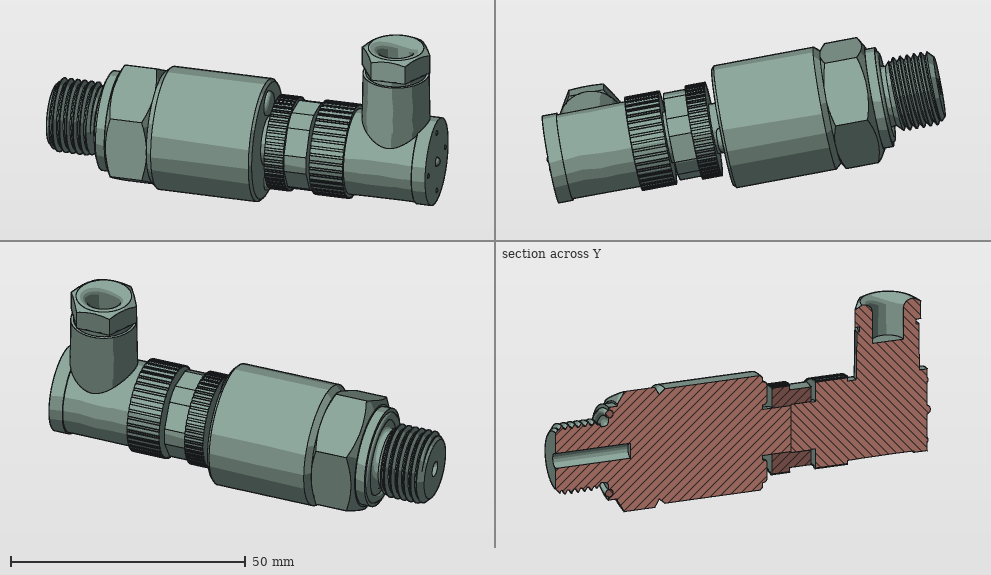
import cadquery as cq
import math


OVERALL_LENGTH = 85.3
HEX_CHAMFER_SLOPE = math.tan(math.radians(30))

THREAD_PITCH = 7.5 / 5
THREAD_RADIUS = 15.9 / 2
THREAD_ROOT_RADIUS = 14.15 / 2
THREAD_CREST_WIDTH = 0.2
THREAD_ROOT_WIDTH = 0.2
THREAD_PHASE_X = 0.7
STUD_NECK_RADIUS = 13.0 / 2
STUD_NECK_X = 10.5
STUD_NECK_FILLET = 1.0
PORT_RADIUS = 3.3 / 2
PORT_DEPTH = 17.05

FLANGE_X = 12.0
FLANGE_RADIUS = 10.75
HEX_X = 14.1
HEX_ACROSS_FLATS = 24.05
HEX_FRONT_RADIUS = 11.2
CASE_X = 23.6
CASE_CONE_RADIUS = 12.1
CASE_CONE_LENGTH = 1.3
CASE_RADIUS = 26.5 / 2
CASE_END_X = 47.1
CASE_END_CHAMFER = 0.6

SCREW_HEAD_RADIUS = 5.4 / 2
SCREW_HEAD_HEIGHT = 1.1
SCREW_HEAD_ROUNDING = 1.0
SCREW_OFFSET = 8.95
SOCKET_RADIUS = 10.75 / 2

SEAL_TUBE_RADIUS = 0.85
SEAL_CENTRE_RADIUS = 9.1
SEAL_PROTRUSION = 0.7

KNURL_RADIUS = 10.15
GROOVE_DEPTH = 0.21
GROOVE_WIDTH = 0.5

NUT_X = 49.1
NUT_KNURL_LENGTH = 4.2
NUT_GROOVE_COUNT = 50
NUT_HEX_END_X = 58.15
NUT_ACROSS_FLATS = 18.0
NUT_ROUND_RADIUS = 18.9 / 2

PLUG_NECK_RADIUS = 11.0 / 2
PLUG_KNURL_X = 59.1
PLUG_KNURL_LENGTH = 7.3
PLUG_GROOVE_COUNT = 40
BARREL_FRONT_RADIUS = 9.2
BARREL_REAR_RADIUS = 9.1
CAP_X = 81.4
CAP_RADIUS = 18.9 / 2
CAP_DOME_HEIGHT = 0.8
CAP_DOME_RADIUS = 1.0
CAP_PIP_RADIUS = 1.0 / 2
CAP_PIP_HEIGHT = 0.25
CAP_PIP_OFFSET = 6.9

OUTLET_X = 75.5
OUTLET_BASE_RADIUS = 7.25
OUTLET_TOP_RADIUS = 14.15 / 2
OUTLET_TOP_Z = 20.1
GLAND_NECK_RADIUS = 13.0 / 2
GLAND_Z = 21.15
GLAND_TOP_Z = 26.2
GLAND_ACROSS_FLATS = 13.0
GLAND_TOP_RADIUS = 11.85 / 2
CABLE_BORE_RADIUS = 7.0 / 2
CABLE_MOUTH_RADIUS = 11.0 / 2
CABLE_BORE_DEPTH = 9.1

SOCKET_END_X = (NUT_X + NUT_HEX_END_X) / 2
PLUG_KNURL_END_X = PLUG_KNURL_X + PLUG_KNURL_LENGTH
CAP_END_X = OVERALL_LENGTH - CAP_DOME_HEIGHT


def cylinder_x(x_start, x_end, radius, y=0, z=0):
    """Round bar along X between two stations."""
    return cq.Workplane("YZ", origin=(x_start, y, z)).circle(radius).extrude(x_end - x_start)


def hexagon_x(x_start, x_end, across_flats, corner_angle):
    """Hexagonal bar along X, with a corner at this angle from +Y."""
    corner_diameter = across_flats / math.cos(math.pi / 6)
    bar = cq.Workplane("YZ", origin=(x_start, 0, 0)).polygon(6, corner_diameter).extrude(x_end - x_start)
    return bar.rotate((0, 0, 0), (1, 0, 0), corner_angle)


def revolve_x(points):
    """Solid of revolution about X from (x, radius) points."""
    return cq.Workplane("XY").polyline(points).close().revolve(360, (0, 0, 0), (1, 0, 0))


def knurled_ring(x_start, length, groove_count):
    """Disc with straight rectangular grooves along its rim, the first of them at +Z."""
    groove = cq.Workplane("XY").box(length, GROOVE_WIDTH, 2 * GROOVE_DEPTH)
    groove = groove.translate((x_start + length / 2, 0, KNURL_RADIUS))
    grooves = [
        groove.rotate((0, 0, 0), (1, 0, 0), i * 360 / groove_count).val() for i in range(groove_count)
    ]
    ring = cylinder_x(x_start, x_start + length, KNURL_RADIUS)
    return ring.cut(cq.Compound.makeCompound(grooves))


def dome_x(x, y, z, base_radius, height):
    """Spherical cap that rises along +X from a plane at x."""
    return (
        cq.Workplane("XY")
        .lineTo(height, 0)
        .threePointArc(dome_midpoint(base_radius, height), (0, base_radius))
        .close()
        .revolve(360, (0, 0, 0), (1, 0, 0))
        .translate((x, y, z))
    )


def dome_midpoint(base_radius, height):
    """Point halfway along the profile arc of a spherical cap."""
    sphere_radius = (base_radius**2 + height**2) / (2 * height)
    half_angle = math.atan2(base_radius, sphere_radius - height) / 2
    along = height - sphere_radius + sphere_radius * math.cos(half_angle)
    return along, sphere_radius * math.sin(half_angle)


def seal_torus():
    """Round-section ring about X that stands out of the flange face."""
    centre_x = FLANGE_X - SEAL_PROTRUSION + SEAL_TUBE_RADIUS
    return (
        cq.Workplane("XY")
        .center(centre_x, SEAL_CENTRE_RADIUS)
        .circle(SEAL_TUBE_RADIUS)
        .revolve(360, (0, -SEAL_CENTRE_RADIUS, 0), (1, -SEAL_CENTRE_RADIUS, 0))
    )


def threaded_stud():
    """Right-handed thread on a round core, with both ends chamfered at 45 degrees."""
    overlap = 0.1
    spare_turns = 2
    turns = math.ceil(STUD_NECK_X / THREAD_PITCH) + spare_turns
    start = THREAD_PHASE_X - THREAD_PITCH
    base_half = (THREAD_PITCH - THREAD_ROOT_WIDTH) / 2
    crest_half = THREAD_CREST_WIDTH / 2
    helix = cq.Wire.makeHelix(THREAD_PITCH, turns * THREAD_PITCH, THREAD_ROOT_RADIUS)
    ridge = (
        cq.Workplane("XZ")
        .moveTo(THREAD_ROOT_RADIUS - overlap, -base_half)
        .lineTo(THREAD_RADIUS, -crest_half)
        .lineTo(THREAD_RADIUS, crest_half)
        .lineTo(THREAD_ROOT_RADIUS - overlap, base_half)
        .close()
        .sweep(cq.Workplane(helix), isFrenet=True)
        .rotate((0, 0, 0), (0, 1, 0), 90)
        .translate((start, 0, 0))
    )
    chamfer = THREAD_RADIUS - STUD_NECK_RADIUS
    envelope = revolve_x(
        [
            (0, 0),
            (0, STUD_NECK_RADIUS),
            (chamfer, THREAD_RADIUS + overlap),
            (STUD_NECK_X - chamfer, THREAD_RADIUS + overlap),
            (STUD_NECK_X, STUD_NECK_RADIUS),
            (STUD_NECK_X, 0),
        ]
    )
    core = cylinder_x(0, STUD_NECK_X, THREAD_ROOT_RADIUS)
    return core.intersect(envelope).union(ridge.intersect(envelope))


def flange():
    """Neck behind the thread that runs with a fillet into the flange."""
    fillet_x = FLANGE_X - STUD_NECK_FILLET
    fillet_middle = STUD_NECK_FILLET * (1 - math.sqrt(0.5))
    return (
        cq.Workplane("XY")
        .moveTo(STUD_NECK_X, 0)
        .lineTo(STUD_NECK_X, STUD_NECK_RADIUS)
        .lineTo(fillet_x, STUD_NECK_RADIUS)
        .threePointArc(
            (FLANGE_X - fillet_middle, STUD_NECK_RADIUS + fillet_middle),
            (FLANGE_X, STUD_NECK_RADIUS + STUD_NECK_FILLET),
        )
        .lineTo(FLANGE_X, FLANGE_RADIUS)
        .lineTo(HEX_X, FLANGE_RADIUS)
        .lineTo(HEX_X, 0)
        .close()
        .revolve(360, (0, 0, 0), (1, 0, 0))
    )


def wrench_hexagon():
    """Hexagon with corners at +Z and -Z, chamfered to cones at both ends."""
    corner_radius = HEX_ACROSS_FLATS / 2 / math.cos(math.pi / 6)
    front_chamfer = (corner_radius - HEX_FRONT_RADIUS) * HEX_CHAMFER_SLOPE
    rear_chamfer = (corner_radius - CASE_CONE_RADIUS) * HEX_CHAMFER_SLOPE
    cones = revolve_x(
        [
            (HEX_X, 0),
            (HEX_X, HEX_FRONT_RADIUS),
            (HEX_X + front_chamfer, corner_radius),
            (CASE_X - rear_chamfer, corner_radius),
            (CASE_X, CASE_CONE_RADIUS),
            (CASE_X, 0),
        ]
    )
    return hexagon_x(HEX_X, CASE_X, HEX_ACROSS_FLATS, corner_angle=90).intersect(cones)


def case():
    """Cylindrical case with a front cone and a rear chamfer."""
    return revolve_x(
        [
            (CASE_X, 0),
            (CASE_X, CASE_CONE_RADIUS),
            (CASE_X + CASE_CONE_LENGTH, CASE_RADIUS),
            (CASE_END_X - CASE_END_CHAMFER, CASE_RADIUS),
            (CASE_END_X, CASE_RADIUS - CASE_END_CHAMFER),
            (CASE_END_X, 0),
        ]
    )


def screw_head(z):
    """Rounded screw head on the rear face of the case."""
    head = cylinder_x(CASE_END_X, CASE_END_X + SCREW_HEAD_HEIGHT, SCREW_HEAD_RADIUS, z=z)
    return head.faces(">X").edges().fillet(SCREW_HEAD_ROUNDING)


def sensor_body():
    """Stud, flange, hexagon, case, screw heads and plug socket in one piece."""
    body = threaded_stud().union(flange()).union(wrench_hexagon()).union(case())
    for z in (-SCREW_OFFSET, SCREW_OFFSET):
        body = body.union(screw_head(z))
    body = body.union(cylinder_x(CASE_END_X, SOCKET_END_X, SOCKET_RADIUS))
    port = cylinder_x(0, PORT_DEPTH, PORT_RADIUS)
    return body.cut(port).cut(seal_torus())


def coupling_nut_body():
    """Knurled ring and rounded hexagon, bored for the sensor socket and the plug neck."""
    hex_x = NUT_X + NUT_KNURL_LENGTH
    hexagon = hexagon_x(hex_x, NUT_HEX_END_X, NUT_ACROSS_FLATS, corner_angle=0)
    hexagon = hexagon.intersect(cylinder_x(hex_x, NUT_HEX_END_X, NUT_ROUND_RADIUS))
    nut = knurled_ring(NUT_X, NUT_KNURL_LENGTH, NUT_GROOVE_COUNT).union(hexagon)
    socket_bore = cylinder_x(NUT_X, SOCKET_END_X, SOCKET_RADIUS)
    plug_bore = cylinder_x(SOCKET_END_X, NUT_HEX_END_X, PLUG_NECK_RADIUS)
    return nut.cut(socket_bore).cut(plug_bore)


def plug_barrel():
    """Neck, knurled ring, slightly tapered barrel and end cap along X."""
    barrel = revolve_x(
        [
            (PLUG_KNURL_END_X, 0),
            (PLUG_KNURL_END_X, BARREL_FRONT_RADIUS),
            (CAP_X, BARREL_REAR_RADIUS),
            (CAP_X, 0),
        ]
    )
    return (
        cylinder_x(SOCKET_END_X, PLUG_KNURL_X, PLUG_NECK_RADIUS)
        .union(knurled_ring(PLUG_KNURL_X, PLUG_KNURL_LENGTH, PLUG_GROOVE_COUNT))
        .union(barrel)
        .union(cylinder_x(CAP_X, CAP_END_X, CAP_RADIUS))
    )


def cap_bumps():
    """Centre dome and four small pips on the end cap."""
    bumps = dome_x(CAP_END_X, 0, 0, CAP_DOME_RADIUS, CAP_DOME_HEIGHT)
    for y, z in ((1, 0), (0, 1), (-1, 0), (0, -1)):
        bumps = bumps.union(
            dome_x(CAP_END_X, y * CAP_PIP_OFFSET, z * CAP_PIP_OFFSET, CAP_PIP_RADIUS, CAP_PIP_HEIGHT)
        )
    return bumps


def cable_outlet():
    """Round pipe along Z, straight inside the barrel height and tapered above it."""
    pipe = cq.Workplane("XY").circle(OUTLET_BASE_RADIUS).extrude(BARREL_FRONT_RADIUS)
    taper = (
        cq.Workplane("XY", origin=(0, 0, BARREL_FRONT_RADIUS))
        .circle(OUTLET_BASE_RADIUS)
        .workplane(offset=OUTLET_TOP_Z - BARREL_FRONT_RADIUS)
        .circle(OUTLET_TOP_RADIUS)
        .loft()
    )
    neck = cq.Workplane("XY", origin=(0, 0, OUTLET_TOP_Z)).circle(GLAND_NECK_RADIUS)
    return pipe.union(taper).union(neck.extrude(GLAND_Z - OUTLET_TOP_Z)).translate((OUTLET_X, 0, 0))


def gland_head():
    """Hexagonal gland head with its top corners turned off to a cone."""
    corner_radius = GLAND_ACROSS_FLATS / 2 / math.cos(math.pi / 6)
    chamfer = (corner_radius - GLAND_TOP_RADIUS) * HEX_CHAMFER_SLOPE
    cone = (
        cq.Workplane("XZ")
        .moveTo(0, GLAND_Z)
        .lineTo(corner_radius, GLAND_Z)
        .lineTo(corner_radius, GLAND_TOP_Z - chamfer)
        .lineTo(GLAND_TOP_RADIUS, GLAND_TOP_Z)
        .lineTo(0, GLAND_TOP_Z)
        .close()
        .revolve(360, (0, 0, 0), (0, 1, 0))
    )
    bar = cq.Workplane("XY", origin=(0, 0, GLAND_Z)).polygon(6, 2 * corner_radius)
    return bar.extrude(GLAND_TOP_Z - GLAND_Z).intersect(cone).translate((OUTLET_X, 0, 0))


def cable_bore():
    """Blind bore from the top of the gland, with a mouth that flares out in a quarter round."""
    flare = CABLE_MOUTH_RADIUS - CABLE_BORE_RADIUS
    flare_middle = flare * (1 - math.sqrt(0.5))
    return (
        cq.Workplane("XZ")
        .moveTo(0, GLAND_TOP_Z - CABLE_BORE_DEPTH)
        .lineTo(CABLE_BORE_RADIUS, GLAND_TOP_Z - CABLE_BORE_DEPTH)
        .lineTo(CABLE_BORE_RADIUS, GLAND_TOP_Z - flare)
        .threePointArc(
            (CABLE_BORE_RADIUS + flare_middle, GLAND_TOP_Z - flare_middle),
            (CABLE_MOUTH_RADIUS, GLAND_TOP_Z),
        )
        .lineTo(0, GLAND_TOP_Z)
        .close()
        .revolve(360, (0, 0, 0), (0, 1, 0))
        .translate((OUTLET_X, 0, 0))
    )


def plug_body():
    """Barrel with its end bumps, cable outlet and gland head in one piece."""
    plug = plug_barrel().union(cap_bumps()).union(cable_outlet()).union(gland_head())
    return plug.cut(cable_bore())


sensor = sensor_body()
seal_ring = seal_torus()
coupling_nut = coupling_nut_body()
plug = plug_body()

result = cq.Compound.makeCompound([sensor.val(), seal_ring.val(), coupling_nut.val(), plug.val()])